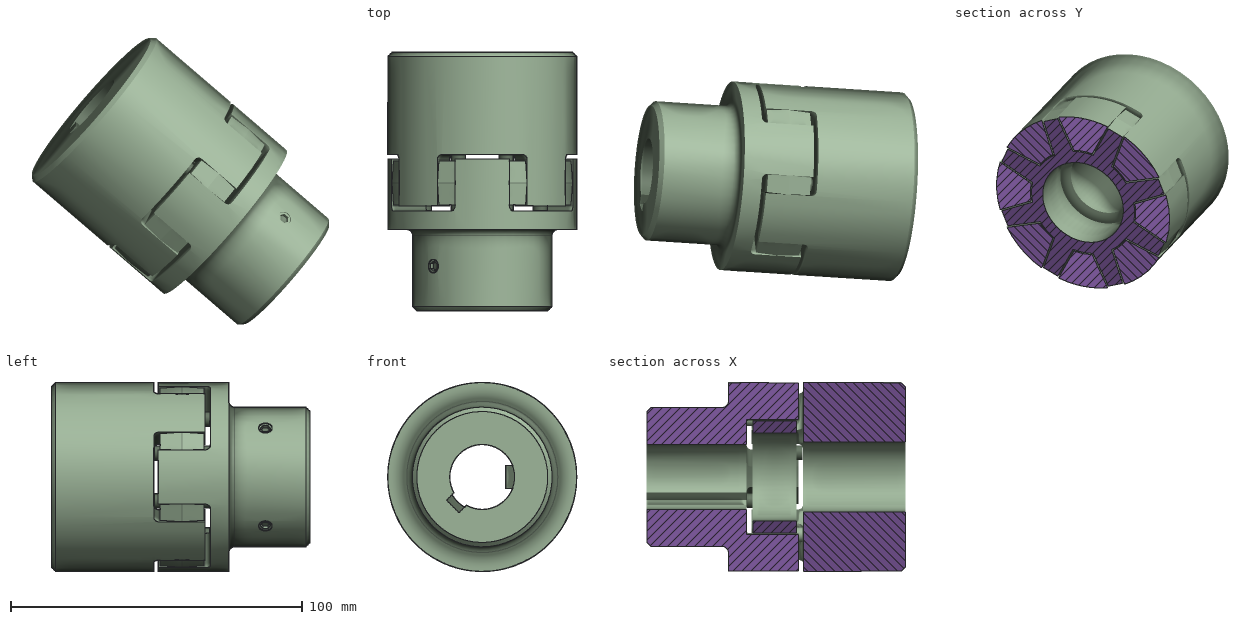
import cadquery as cq
import math


OUTER_RADIUS = 32.49
JAW_COUNT = 4
JAW_PITCH = 360 / JAW_COUNT
LEG_ANGLE = JAW_PITCH / 4
JAW_INNER_RADIUS = 19.65
FLOOR_OFFSET = 9.7
ROOT_FILLET = 1.8
GAP_OVERCUT = 5.3
SLOT_INNER_HALF_WIDTH = 4.2
SLOT_OUTER_HALF_WIDTH = 3.3

FRONT_END_Y = -44.0
FLANGE_FACE_Y = -16.1
FRONT_JAW_TIP_Y = 8.2
BOSS_RADIUS = 24.0
BOSS_FILLET = 2.0
EDGE_CHAMFER = 1.5
FRONT_BORE_RADIUS = 11.1
FRONT_KEYWAY_WIDTH = 6.05
FRONT_KEYWAY_REACH = 14.3
FRONT_KEYWAY_ANGLE = 225

SCREW_Y = -28.6
SCREW_ANGLES = (135, 225)
SCREW_RADIUS = 2.3
SCREW_SINK = 0.45
SOCKET_WIDTH = 3.0
SOCKET_DEPTH = 1.3

REAR_END_Y = 44.9
REAR_JAW_TIP_Y = -7.9
REAR_BORE_RADIUS = 12.0
KEY_WIDTH = 8.0
KEY_HEIGHT = 7.0
KEY_INNER_REACH = 8.0

SPIDER_THICKNESS = 15.1
SPIDER_HOLE_RADIUS = 15.0
SPIDER_RING_RADIUS = 19.4
LEG_REACH = 32.2
LEG_TAPER = 3.0
NUB_RADIUS = 2.5
NUB_CIRCLE_RADIUS = 21.5
NUB_REACH = 9.6


def section(y):
    """Work plane across the axis at the given Y, extruding towards -Y."""
    return cq.Workplane("XZ", origin=(0, y, 0))


def disc(radius, y_rear, y_front):
    return section(y_rear).circle(radius).extrude(y_rear - y_front)


def turned(shape, angle):
    """Turn a shape about the coupling axis from +X towards +Z."""
    return shape.rotate((0, 0, 0), (0, 1, 0), -angle)


def slot_half_width(reach):
    """Half width of a leg slot at a distance from the axis along the leg."""
    slope = (SLOT_OUTER_HALF_WIDTH - SLOT_INNER_HALF_WIDTH) / (OUTER_RADIUS - JAW_INNER_RADIUS)
    return SLOT_INNER_HALF_WIDTH + slope * (reach - JAW_INNER_RADIUS)


def flank_point(reach):
    """Point on the jaw flank above a gap centred on +X, given its distance along the leg."""
    angle = math.radians(LEG_ANGLE)
    half_width = slot_half_width(reach)
    x = reach * math.cos(angle) - half_width * math.sin(angle)
    z = reach * math.sin(angle) + half_width * math.cos(angle)
    return x, z


def make_jaw_clearance(tip_y, first_gap_angle):
    """Space inside and between the jaws of a hub whose jaws point towards +Y."""
    floor_y = -FLOOR_OFFSET
    x_in, z_in = flank_point(JAW_INNER_RADIUS - GAP_OVERCUT)
    x_out, z_out = flank_point(OUTER_RADIUS + GAP_OVERCUT)
    corners = [(x_in, -z_in), (x_out, -z_out), (x_out, z_out), (x_in, z_in)]
    gap = section(tip_y).polyline(corners).close().extrude(tip_y - floor_y)
    gap = gap.faces("<Y").edges("not |Z").fillet(ROOT_FILLET)
    clearance = disc(JAW_INNER_RADIUS, tip_y, floor_y)
    for number in range(JAW_COUNT):
        clearance = clearance.union(turned(gap, first_gap_angle + number * JAW_PITCH))
    return clearance


def cut_screw_seat(body, angle):
    """Cut a round seat with a hexagon socket below it."""
    seat_floor = BOSS_RADIUS - SCREW_SINK
    plane = cq.Workplane("YZ", origin=(seat_floor, SCREW_Y, 0))
    seat = plane.circle(SCREW_RADIUS).extrude(2 * SCREW_SINK)
    across_corners = SOCKET_WIDTH / math.cos(math.radians(30))
    socket = plane.polygon(6, across_corners).extrude(-SOCKET_DEPTH)
    return body.cut(turned(seat.union(socket), angle))


def make_front_hub():
    floor_y = -FLOOR_OFFSET
    profile = (
        cq.Workplane("XY")
        .moveTo(0, FRONT_END_Y)
        .lineTo(BOSS_RADIUS - EDGE_CHAMFER, FRONT_END_Y)
        .lineTo(BOSS_RADIUS, FRONT_END_Y + EDGE_CHAMFER)
        .lineTo(BOSS_RADIUS, FLANGE_FACE_Y - BOSS_FILLET)
        .tangentArcPoint((BOSS_FILLET, BOSS_FILLET))
        .lineTo(OUTER_RADIUS, FLANGE_FACE_Y)
        .lineTo(OUTER_RADIUS, FRONT_JAW_TIP_Y)
        .lineTo(0, FRONT_JAW_TIP_Y)
        .close()
    )
    hub = profile.revolve(360, (0, 0, 0), (0, 1, 0))
    hub = hub.cut(make_jaw_clearance(FRONT_JAW_TIP_Y, JAW_PITCH / 2))
    hub = hub.cut(disc(FRONT_BORE_RADIUS, floor_y, FRONT_END_Y))
    keyway = (
        section(floor_y)
        .center(FRONT_KEYWAY_REACH / 2, 0)
        .rect(FRONT_KEYWAY_REACH, FRONT_KEYWAY_WIDTH)
        .extrude(floor_y - FRONT_END_Y)
    )
    hub = hub.cut(turned(keyway, FRONT_KEYWAY_ANGLE))
    for angle in SCREW_ANGLES:
        hub = cut_screw_seat(hub, angle)
    return hub


def make_key():
    return (
        section(REAR_END_Y)
        .center(KEY_INNER_REACH + KEY_HEIGHT / 2, 0)
        .rect(KEY_HEIGHT, KEY_WIDTH)
        .extrude(REAR_END_Y - FLOOR_OFFSET)
    )


def make_rear_hub(key):
    hub = disc(OUTER_RADIUS, REAR_END_Y, REAR_JAW_TIP_Y)
    hub = hub.faces(">Y").edges().chamfer(EDGE_CHAMFER)
    hub = hub.cut(make_jaw_clearance(-REAR_JAW_TIP_Y, 0).mirror("XZ"))
    hub = hub.cut(disc(REAR_BORE_RADIUS, REAR_END_Y, FLOOR_OFFSET))
    return hub.cut(key)


def make_leg():
    """One leg along +X, widest and longest in the middle plane."""
    inner_reach = (SPIDER_HOLE_RADIUS + SPIDER_RING_RADIUS) / 2
    inner = slot_half_width(inner_reach)
    outer = slot_half_width(LEG_REACH)
    corners = [(inner_reach, -inner), (LEG_REACH, -outer), (LEG_REACH, outer), (inner_reach, inner)]
    outline = section(0).polyline(corners).close()
    front_half = outline.extrude(SPIDER_THICKNESS / 2, taper=LEG_TAPER)
    return front_half.union(front_half.mirror("XZ"))


def make_spider():
    half = SPIDER_THICKNESS / 2
    spider = disc(SPIDER_RING_RADIUS, half, -half)
    leg = make_leg()
    nub = section(0).center(NUB_CIRCLE_RADIUS, 0).circle(NUB_RADIUS).extrude(NUB_REACH)
    for number in range(JAW_COUNT):
        front_angle = LEG_ANGLE + number * JAW_PITCH
        rear_angle = front_angle + JAW_PITCH / 2
        spider = spider.union(turned(leg, front_angle)).union(turned(nub, front_angle))
        spider = spider.union(turned(leg, rear_angle)).union(turned(nub.mirror("XZ"), rear_angle))
    return spider.cut(disc(SPIDER_HOLE_RADIUS, half, -half))


front_hub = make_front_hub()
key = make_key()
rear_hub = make_rear_hub(key)
spider = make_spider()

bodies = [front_hub, rear_hub, spider, key]
result = cq.Compound.makeCompound([body.solids().val() for body in bodies])